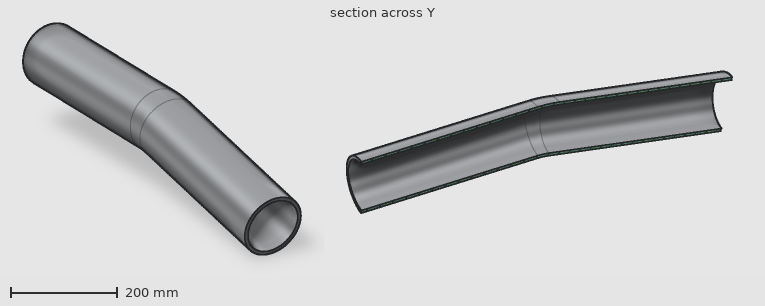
import cadquery as cq
import math

outer_diameter = 125.0
inner_diameter = 110.0
leg_length = 368.0
bend_radius = 176.0
bend_angle = 11.0


def bend_point(angle):
    """Point on the centreline after turning through the angle, in degrees."""
    turn = math.radians(angle)
    return (
        leg_length + bend_radius * math.sin(turn),
        -bend_radius * (1 - math.cos(turn)),
    )


bend_start = bend_point(0)
bend_middle = bend_point(bend_angle / 2)
bend_end = bend_point(bend_angle)
slope = math.radians(bend_angle)
pipe_end = (
    bend_end[0] + leg_length * math.cos(slope),
    bend_end[1] - leg_length * math.sin(slope),
)
centreline = (
    cq.Workplane("XZ")
    .lineTo(*bend_start)
    .threePointArc(bend_middle, bend_end)
    .lineTo(*pipe_end)
)

result = (
    cq.Workplane("YZ")
    .circle(outer_diameter / 2)
    .circle(inner_diameter / 2)
    .sweep(centreline)
)